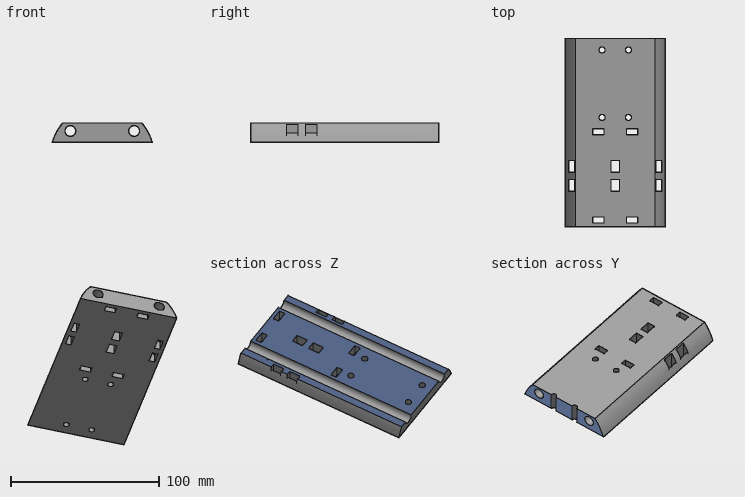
import cadquery as cq
import math

length = 127.0
base_width = 67.7
top_width = 53.3
height = 13.2
side_bulge = 0.8

bore_diameter = 7.1
bore_spacing = 42.9
bore_height = 7.7

hole_diameter = 4.0
hole_spacing = 17.8
hole_pitch = 45.5
hole_end_margin = 7.7

cross_slot_width = 7.5
cross_slot_length = 4.0
cross_slot_spacing = 22.7
cross_slot_pitch = 59.4
cross_slot_end_margin = 4.7

pair_slot_length = 7.7
pair_pitch = 12.7
pair_end_margin = 28.1
centre_slot_width = 5.5
side_slot_width = 3.8
side_slot_offset = 29.3


def make_body():
    half_base = base_width / 2
    half_top = top_width / 2
    run = half_base - half_top
    chord = math.hypot(run, height)
    bulge_x = (half_base + half_top) / 2 + side_bulge * height / chord
    bulge_z = height / 2 + side_bulge * run / chord
    return (
        cq.Workplane("XZ")
        .moveTo(-half_base, 0)
        .lineTo(half_base, 0)
        .threePointArc((bulge_x, bulge_z), (half_top, height))
        .lineTo(-half_top, height)
        .threePointArc((-bulge_x, bulge_z), (-half_base, 0))
        .close()
        .extrude(length / 2, both=True)
    )


def long_bores():
    return (
        cq.Workplane("XZ")
        .pushPoints([(side * bore_spacing / 2, bore_height) for side in (-1, 1)])
        .circle(bore_diameter / 2)
        .extrude(length / 2, both=True)
    )


def round_holes():
    last_row = length / 2 - hole_end_margin
    rows = (last_row - hole_pitch, last_row)
    points = [(side * hole_spacing / 2, y) for side in (-1, 1) for y in rows]
    return cq.Workplane("XY").pushPoints(points).circle(hole_diameter / 2).extrude(height)


def slots(x_positions, first_y, pitch, width, slot_length):
    """Rectangular through cutters in two rows, one pitch apart."""
    points = [(x, y) for x in x_positions for y in (first_y, first_y + pitch)]
    return cq.Workplane("XY").pushPoints(points).rect(width, slot_length).extrude(height)


def cross_slots():
    x_positions = (-cross_slot_spacing / 2, cross_slot_spacing / 2)
    first_y = cross_slot_end_margin - length / 2
    return slots(x_positions, first_y, cross_slot_pitch, cross_slot_width, cross_slot_length)


def paired_slots(x_positions, width):
    first_y = pair_end_margin - length / 2
    return slots(x_positions, first_y, pair_pitch, width, pair_slot_length)


result = (
    make_body()
    .cut(long_bores())
    .cut(round_holes())
    .cut(cross_slots())
    .cut(paired_slots((0,), centre_slot_width))
    .cut(paired_slots((-side_slot_offset, side_slot_offset), side_slot_width))
)